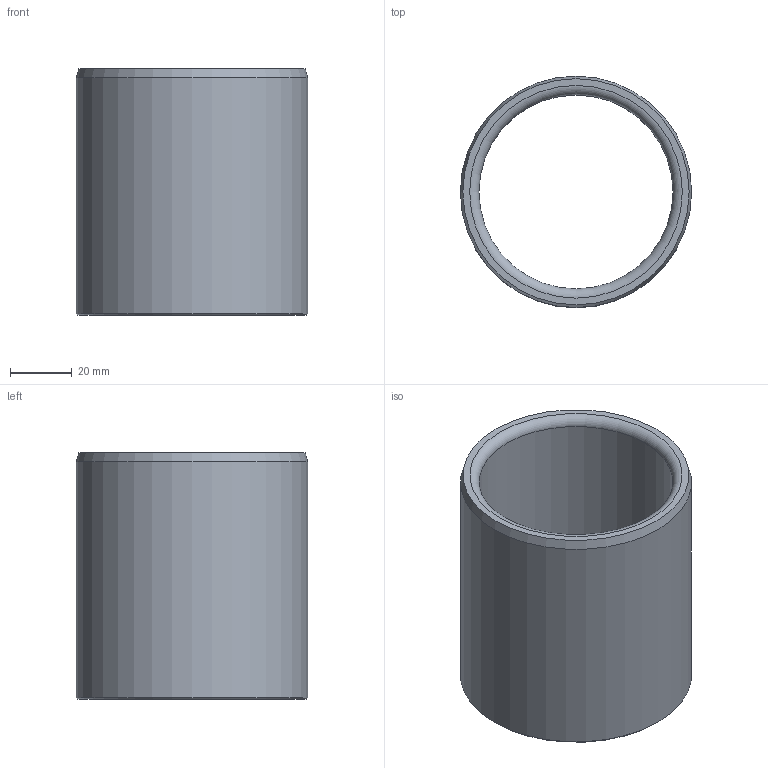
import cadquery as cq
import math

outer_diameter = 75.0
bore_diameter = 63.0
length = 80.0

lead_in_height = 3.0
lead_in_angle = 15.0
lead_in_depth = lead_in_height * math.tan(math.radians(lead_in_angle))

bottom_chamfer = 0.5

bore_mouth_radius = 3.0


def sleeve_profile():
    """Half section of the sleeve wall, with radius along X and height along Z."""
    outer_radius = outer_diameter / 2
    bore_radius = bore_diameter / 2
    arc_offset = bore_mouth_radius * (1 - math.sqrt(0.5))
    return (
        cq.Workplane("XZ")
        .moveTo(bore_radius, 0)
        .lineTo(outer_radius - bottom_chamfer, 0)
        .lineTo(outer_radius, bottom_chamfer)
        .lineTo(outer_radius, length - lead_in_height)
        .lineTo(outer_radius - lead_in_depth, length)
        .lineTo(bore_radius + bore_mouth_radius, length)
        .threePointArc(
            (bore_radius + arc_offset, length - arc_offset),
            (bore_radius, length - bore_mouth_radius),
        )
        .close()
    )


result = sleeve_profile().revolve(360, (0, 0, 0), (0, 1, 0))